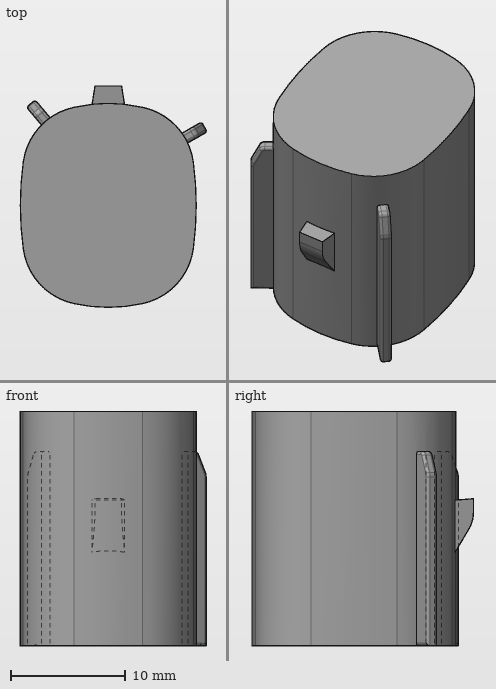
import cadquery as cq
import math

BODY_HEIGHT = 20.5
HALF_WIDTH = 7.7
HALF_LENGTH = 8.92
SIDE_ARC_HALF_SPAN = 3.75
SIDE_ARC_BULGE = 0.25
END_ARC_HALF_SPAN = 3.0
END_ARC_BULGE = 0.33
CORNER_RADIUS = 5.7

FIN_THICKNESS = 1.0
FIN_HEIGHT = 17.0
FIN_EDGE_FILLET = 0.25
FIN_SLOPE_DEPTH = 0.9
FIN_SLOPE_ANGLE = 24.0
FIN_UPPER_KNEE_RADIUS = 0.5
FIN_LOWER_KNEE_RADIUS = 1.0
FIN_ROOT = 6.0
RIGHT_FIN_ANGLE = 30.0
RIGHT_FIN_REACH = 10.72
RIGHT_FIN_OFFSET = 1.75
LEFT_FIN_ANGLE = 130.0
LEFT_FIN_REACH = 11.18
LEFT_FIN_OFFSET = -0.54

LATCH_TIP_Y = 10.46
LATCH_ROOT_Y = 8.0
LATCH_TIP_HALF_WIDTH = 1.17
LATCH_SIDE_ANGLE = 9.0
LATCH_TOP_Z = 12.88
LATCH_TOP_ANGLE = 4.5
LATCH_TIP_FACE_HEIGHT = 2.0
LATCH_RAMP_ANGLE = 31.0
LATCH_NOSE_RADIUS = 3.0


def make_body():
    side_x = HALF_WIDTH - SIDE_ARC_BULGE
    end_y = HALF_LENGTH - END_ARC_BULGE
    side_y = SIDE_ARC_HALF_SPAN
    end_x = END_ARC_HALF_SPAN
    return (
        cq.Workplane("XY")
        .moveTo(side_x, -side_y)
        .threePointArc((HALF_WIDTH, 0), (side_x, side_y))
        .radiusArc((end_x, end_y), -CORNER_RADIUS)
        .threePointArc((0, HALF_LENGTH), (-end_x, end_y))
        .radiusArc((-side_x, side_y), -CORNER_RADIUS)
        .threePointArc((-HALF_WIDTH, 0), (-side_x, -side_y))
        .radiusArc((-end_x, -end_y), -CORNER_RADIUS)
        .threePointArc((0, -HALF_LENGTH), (end_x, -end_y))
        .radiusArc((side_x, -side_y), -CORNER_RADIUS)
        .close()
        .extrude(BODY_HEIGHT)
    )


def make_fin(angle, reach, offset):
    """Blade built along +X, shifted sideways, then turned about Z to its direction."""
    shoulder_x = reach - FIN_SLOPE_DEPTH
    slope_drop = FIN_SLOPE_DEPTH / math.tan(math.radians(FIN_SLOPE_ANGLE))
    knee_z = FIN_HEIGHT - slope_drop
    blade = (
        cq.Workplane("XZ")
        .moveTo(FIN_ROOT, 0)
        .lineTo(reach, 0)
        .lineTo(reach, knee_z)
        .lineTo(shoulder_x, FIN_HEIGHT)
        .lineTo(FIN_ROOT, FIN_HEIGHT)
        .close()
        .extrude(FIN_THICKNESS / 2, both=True)
    )
    upper_knee = cq.selectors.NearestToPointSelector((shoulder_x, 0, FIN_HEIGHT))
    lower_knee = cq.selectors.NearestToPointSelector((reach, 0, knee_z))
    blade = blade.edges(upper_knee).fillet(FIN_UPPER_KNEE_RADIUS)
    blade = blade.edges(lower_knee).fillet(FIN_LOWER_KNEE_RADIUS)
    blade = blade.faces("<Y or >Y").edges().fillet(FIN_EDGE_FILLET)
    return blade.translate((0, offset, 0)).rotate((0, 0, 0), (0, 0, 1), angle)


def make_latch():
    depth = LATCH_TIP_Y - LATCH_ROOT_Y
    root_half_width = LATCH_TIP_HALF_WIDTH + depth * math.tan(math.radians(LATCH_SIDE_ANGLE))
    root_top_z = LATCH_TOP_Z - depth * math.tan(math.radians(LATCH_TOP_ANGLE))
    nose_z = LATCH_TOP_Z - LATCH_TIP_FACE_HEIGHT
    root_bottom_z = nose_z - depth / math.tan(math.radians(LATCH_RAMP_ANGLE))
    latch = (
        cq.Workplane("YZ")
        .moveTo(LATCH_ROOT_Y, root_bottom_z)
        .lineTo(LATCH_TIP_Y, nose_z)
        .lineTo(LATCH_TIP_Y, LATCH_TOP_Z)
        .lineTo(LATCH_ROOT_Y, root_top_z)
        .close()
        .extrude(root_half_width, both=True)
    )
    nose = cq.selectors.NearestToPointSelector((0, LATCH_TIP_Y, nose_z))
    latch = latch.edges(nose).fillet(LATCH_NOSE_RADIUS)
    plan = (
        cq.Workplane("XY")
        .moveTo(-root_half_width, LATCH_ROOT_Y)
        .lineTo(root_half_width, LATCH_ROOT_Y)
        .lineTo(LATCH_TIP_HALF_WIDTH, LATCH_TIP_Y)
        .lineTo(-LATCH_TIP_HALF_WIDTH, LATCH_TIP_Y)
        .close()
        .extrude(BODY_HEIGHT)
    )
    return latch.intersect(plan)


right_fin = make_fin(RIGHT_FIN_ANGLE, RIGHT_FIN_REACH, RIGHT_FIN_OFFSET)
left_fin = make_fin(LEFT_FIN_ANGLE, LEFT_FIN_REACH, LEFT_FIN_OFFSET)
result = make_body().union(right_fin).union(left_fin).union(make_latch())